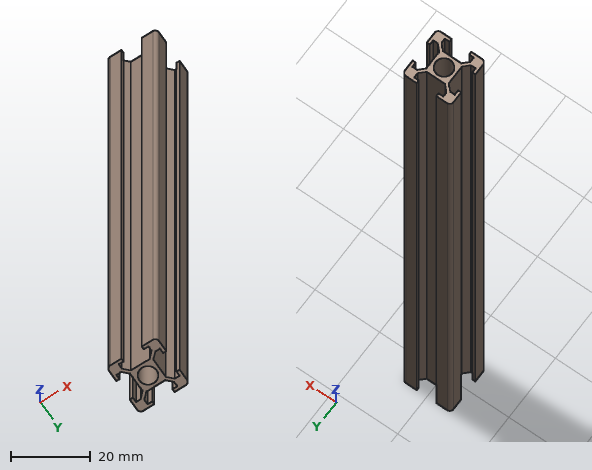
import cadquery as cq

length = 190.0
width = 15.0
slot_opening = 6.0
lip_thickness = 1.0
corner_block = 3.0
core_width = 7.0
web_thickness = 1.0
bore_diameter = 5.1
corner_radius = 1.1

half_width = width / 2
cavity_width = width - 2 * corner_block
cavity_depth = half_width - core_width / 2


def box(size_x, size_y):
    """Full-length bar centred on the Z axis."""
    return cq.Workplane("XY").rect(size_x, size_y).extrude(length)


def t_slot():
    """T-shaped slot space on the +X side, before the webs are added."""
    opening = box(cavity_depth, slot_opening).translate((half_width - cavity_depth / 2, 0, 0))
    cavity_span = cavity_depth - lip_thickness
    cavity_center = half_width - lip_thickness - cavity_span / 2
    cavity = box(cavity_span, width - 2 * lip_thickness).translate((cavity_center, 0, 0))
    return opening.union(cavity)


def corner_blocks():
    """Four square blocks that carry the lips."""
    offset = (cavity_width + corner_block) / 2
    return (
        cq.Workplane("XY")
        .rect(2 * offset, 2 * offset, forConstruction=True)
        .vertices()
        .rect(corner_block, corner_block)
        .extrude(length)
    )


def diagonal_web(angle):
    """Thin diagonal wall joining opposite corner blocks through the core."""
    return box(width, web_thickness).rotate((0, 0, 0), (0, 0, 1), angle)


profile = box(width, width)
for side in range(4):
    profile = profile.cut(t_slot().rotate((0, 0, 0), (0, 0, 1), 90 * side))

profile = profile.union(corner_blocks())
for web_angle in (45, 135):
    profile = profile.union(diagonal_web(web_angle))

corner_rounding = box(width, width).edges("|Z").fillet(corner_radius)
profile = profile.intersect(corner_rounding)

bore = cq.Workplane("XY").circle(bore_diameter / 2).extrude(length)
result = profile.cut(bore)